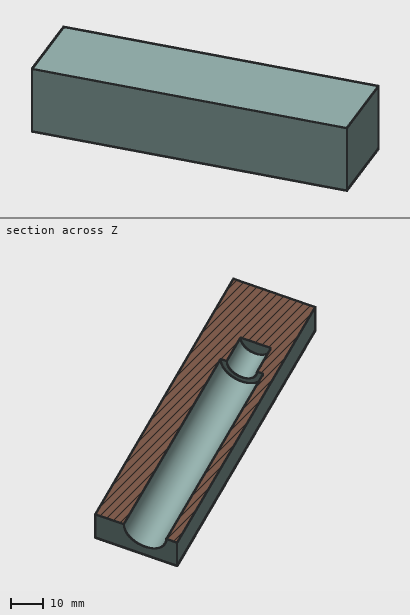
import cadquery as cq

length = 104.1
width = 27.9
height = 22.4

bore_offset_y = -3.0
bore_diameter = 14.4
bore_depth = 72.9
tip_diameter = 10.2
tip_depth = 10.4


def bore_section(start_x, diameter, depth):
    """Cylinder along +X on the bore axis."""
    plane = cq.Workplane("YZ", origin=(start_x, bore_offset_y, 0))
    return plane.circle(diameter / 2).extrude(depth)


entry_x = -length / 2
step_x = entry_x + bore_depth

block = cq.Workplane("XY").box(length, width, height)
main_bore = bore_section(entry_x, bore_diameter, bore_depth)
tip_bore = bore_section(step_x, tip_diameter, tip_depth)

result = block.cut(main_bore).cut(tip_bore)